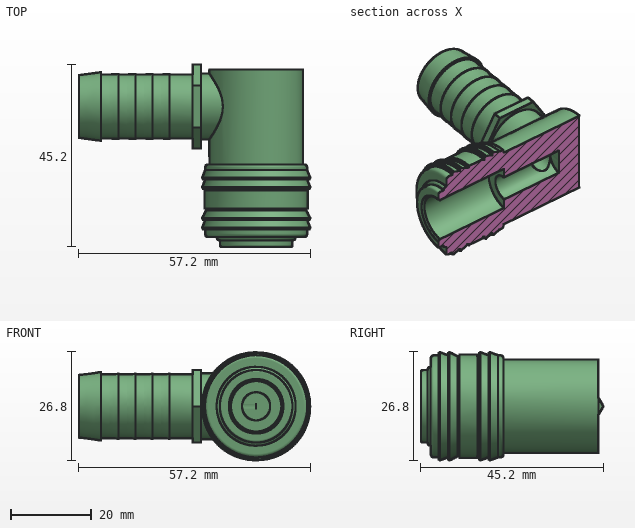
import cadquery as cq
import math


BARREL_RADIUS = 11.6
BARREL_BACK = 9.15

COLLAR_BACK = 14.3
COLLAR_FRONT = 32.3
COLLAR_RADIUS = 12.65
COLLAR_EDGE_FILLET = 0.8
BAND_BACK = 20.75
BAND_FRONT = 25.25
BAND_RADIUS = 12.8
GROOVE_RADIUS = 12.4

REAR_RIDGES_START = 15.7
FRONT_RIDGES_START = 25.7
RIDGES_PER_PAIR = 2
RIDGE_SLOPE_LENGTH = 1.95
RIDGE_TIP_LENGTH = 0.4
RIDGE_PITCH = RIDGE_SLOPE_LENGTH + RIDGE_TIP_LENGTH
RIDGE_RADIUS = 13.4
RIDGE_TIP_DROP = 0.25

NOSE_FRONT = 34.8
NOSE_RADIUS = 9.0
NOSE_SHOULDER_ROUND = 0.8
NOSE_EDGE_FILLET = 0.5

SOCKET_RADIUS = 6.25
SOCKET_CHAMFER = 0.5
PASSAGE_RADIUS = 3.5
PASSAGE_END = 2.75

HOSE_TIP = 43.8
HOSE_RADIUS = 7.95
HOSE_BORE_RADIUS = 2.8
TIP_RADIUS = 7.8
BARB_END = 38.35
BARB_RADIUS = 8.5
RIB_COUNT = 4
RIB_PITCH = 4.25
RIB_LENGTH = 2.05
RIB_RADIUS = 8.05
HUB_RADIUS = 8.2

HEX_OUTER = 15.75
HEX_INNER = 13.6
HEX_ACROSS_FLATS = 18.0
HEX_ACROSS_CORNERS = HEX_ACROSS_FLATS / math.cos(math.pi / 6)


def body_cylinder(radius, back, front):
    """Cylinder on the body axis between two body stations."""
    return cq.Workplane("XZ", origin=(0, -back, 0)).circle(radius).extrude(front - back)


def hose_cylinder(radius, inner, outer):
    """Cylinder on the hose axis between two hose stations."""
    return cq.Workplane("YZ", origin=(-outer, 0, 0)).circle(radius).extrude(outer - inner)


def ridge_pair(start, first_foot_radius):
    """Profile points of one pair of sawtooth ridges, as (radius, station)."""
    points = []
    for i in range(RIDGES_PER_PAIR):
        foot = start + i * RIDGE_PITCH
        crest = foot + RIDGE_SLOPE_LENGTH
        foot_radius = first_foot_radius if i == 0 else COLLAR_RADIUS
        points += [
            (foot_radius, foot),
            (RIDGE_RADIUS, crest),
            (RIDGE_RADIUS - RIDGE_TIP_DROP, crest + RIDGE_TIP_LENGTH),
        ]
    return points


def make_collar():
    rear_ridges_end = REAR_RIDGES_START + RIDGES_PER_PAIR * RIDGE_PITCH
    front_ridges_end = FRONT_RIDGES_START + RIDGES_PER_PAIR * RIDGE_PITCH
    profile = [(0, COLLAR_BACK), (COLLAR_RADIUS, COLLAR_BACK)]
    profile += ridge_pair(REAR_RIDGES_START, COLLAR_RADIUS)
    profile += [
        (GROOVE_RADIUS, rear_ridges_end),
        (GROOVE_RADIUS, BAND_BACK),
        (BAND_RADIUS, BAND_BACK),
        (BAND_RADIUS, BAND_FRONT),
        (GROOVE_RADIUS, BAND_FRONT),
    ]
    profile += ridge_pair(FRONT_RIDGES_START, GROOVE_RADIUS)
    profile += [(COLLAR_RADIUS, front_ridges_end), (COLLAR_RADIUS, COLLAR_FRONT), (0, COLLAR_FRONT)]
    outline = [(radius, -station) for radius, station in profile]
    collar = cq.Workplane("XY").polyline(outline).close().revolve(360, (0, 0), (0, 1))
    return collar.faces("<Y or >Y").edges().fillet(COLLAR_EDGE_FILLET)


def make_nose():
    """Nose with a quarter-round shoulder against the collar face and a rounded front edge."""
    root = -COLLAR_FRONT
    front = -NOSE_FRONT
    diagonal = math.sqrt(0.5)
    edge_radius = NOSE_RADIUS - NOSE_EDGE_FILLET
    edge_start = front + NOSE_EDGE_FILLET
    shoulder_middle = (NOSE_RADIUS + NOSE_SHOULDER_ROUND * diagonal, root - NOSE_SHOULDER_ROUND * diagonal)
    edge_middle = (edge_radius + NOSE_EDGE_FILLET * diagonal, edge_start - NOSE_EDGE_FILLET * diagonal)
    return (
        cq.Workplane("XY")
        .moveTo(0, -COLLAR_BACK)
        .lineTo(NOSE_RADIUS + NOSE_SHOULDER_ROUND, -COLLAR_BACK)
        .lineTo(NOSE_RADIUS + NOSE_SHOULDER_ROUND, root)
        .threePointArc(shoulder_middle, (NOSE_RADIUS, root - NOSE_SHOULDER_ROUND))
        .lineTo(NOSE_RADIUS, edge_start)
        .threePointArc(edge_middle, (edge_radius, front))
        .lineTo(0, front)
        .close()
        .revolve(360, (0, 0), (0, 1))
    )


def make_hose_tail():
    """Barbed tip, plain tube and shallow sawtooth ribs, ending inside the hexagon."""
    profile = [(HOSE_TIP, 0), (HOSE_TIP, TIP_RADIUS), (BARB_END, BARB_RADIUS), (BARB_END, HOSE_RADIUS)]
    for i in range(RIB_COUNT):
        rib_end = BARB_END - (i + 1) * RIB_PITCH
        profile += [
            (rib_end + RIB_LENGTH, HOSE_RADIUS),
            (rib_end, RIB_RADIUS),
            (rib_end, HOSE_RADIUS),
        ]
    profile += [(HEX_INNER, HOSE_RADIUS), (HEX_INNER, 0)]
    outline = [(-station, radius) for station, radius in profile]
    return cq.Workplane("XY").polyline(outline).close().revolve(360, (0, 0), (1, 0))


def make_hexagon():
    plane = cq.Workplane("YZ", origin=(-HEX_OUTER, 0, 0))
    return plane.polygon(6, HEX_ACROSS_CORNERS).extrude(HEX_OUTER - HEX_INNER)


def make_cavity():
    """Socket with a chamfered mouth, the passage behind it and the hose bore meeting it."""
    socket = body_cylinder(SOCKET_RADIUS, COLLAR_BACK, NOSE_FRONT)
    mouth = (
        cq.Workplane("XZ", origin=(0, -NOSE_FRONT, 0))
        .circle(SOCKET_RADIUS + SOCKET_CHAMFER)
        .workplane(offset=-SOCKET_CHAMFER)
        .circle(SOCKET_RADIUS)
        .loft()
    )
    passage = body_cylinder(PASSAGE_RADIUS, -PASSAGE_END, COLLAR_BACK)
    hose_bore = hose_cylinder(HOSE_BORE_RADIUS, 0, HOSE_TIP)
    return socket.union(mouth).union(passage).union(hose_bore)


barrel = body_cylinder(BARREL_RADIUS, -BARREL_BACK, COLLAR_BACK)
hub = hose_cylinder(HUB_RADIUS, 0, HEX_INNER)
outside = barrel.union(make_collar()).union(make_nose())
outside = outside.union(hub).union(make_hexagon()).union(make_hose_tail())

result = outside.cut(make_cavity())